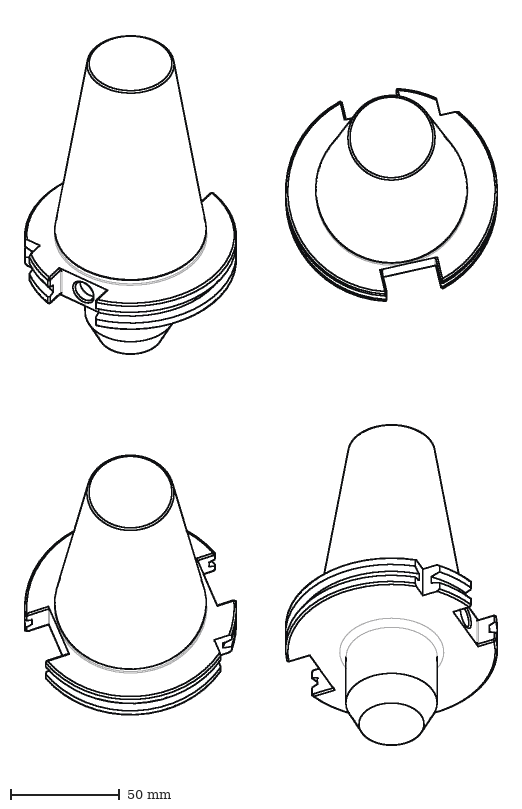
import cadquery as cq
import math

total_height = 164.8
nose_cone_height = 12.9
flange_bottom = 43.8
flange_thickness = 16.0
flange_top = flange_bottom + flange_thickness
flange_middle = flange_bottom + flange_thickness / 2
taper_bottom = 63.0

nose_end_radius = 15.0
nose_radius = 42.0 / 2
flange_radius = 48.8
taper_large_radius = 35.0
taper_slope = 7 / 48
taper_small_radius = taper_large_radius - taper_slope * (total_height - taper_bottom)

nose_fillet = 3.0
neck_step = 0.3
neck_edge_height = 0.7
neck_fillet = 0.5
taper_tip_chamfer = 1.0
taper_tip_chamfer_height = 0.7
rim_chamfer = 1.0

groove_floor_radius = 45.5
groove_floor_width = 3.8
groove_mouth_width = 6.6

cutter_clearance = 1.6
edge_margin = 0.2

slot_width = 25.5
slot_wall_chamfer = 0.8
slot_floor_fillet = 0.5
slot_floor_front = 37.7
slot_floor_back = 35.3

notch_inner_corner = 30.0

hole_radius = 5.1
hole_mouth_radius = 6.0
hole_depth = 4.6


def make_body():
    """Nose, neck and taper turned around the Z axis."""
    neck_radius = taper_large_radius - neck_step
    bend = 1 - math.sqrt(0.5)
    profile = (
        cq.Workplane("XZ")
        .moveTo(0, 0)
        .lineTo(nose_end_radius, 0)
        .lineTo(nose_radius, nose_cone_height)
        .lineTo(nose_radius, flange_bottom - nose_fillet)
        .threePointArc(
            (nose_radius + bend * nose_fillet, flange_bottom - bend * nose_fillet),
            (nose_radius + nose_fillet, flange_bottom),
        )
        .lineTo(nose_radius + nose_fillet, flange_top)
        .lineTo(neck_radius + neck_fillet, flange_top)
        .threePointArc(
            (neck_radius + bend * neck_fillet, flange_top + bend * neck_fillet),
            (neck_radius, flange_top + neck_fillet),
        )
        .lineTo(neck_radius, taper_bottom - neck_edge_height)
        .lineTo(taper_large_radius, taper_bottom)
        .lineTo(taper_small_radius, total_height - taper_tip_chamfer_height)
        .lineTo(taper_small_radius - taper_tip_chamfer, total_height)
        .lineTo(0, total_height)
        .close()
    )
    return profile.revolve(360, (0, 0), (0, 1))


def make_slot_cutter(floor, side):
    """Block that cuts one drive slot; side is -1 for -Y and +1 for +Y."""
    return (
        cq.Workplane("XY", origin=(0, side * (floor + flange_radius / 2), flange_middle))
        .box(slot_width, flange_radius, 2 * flange_thickness)
    )


def make_groove_cutter():
    """Ring with the trapezoidal section of the V-groove."""
    flank_rise = (groove_mouth_width - groove_floor_width) / 2
    flank_slope = flank_rise / (flange_radius - groove_floor_radius)
    outer_radius = flange_radius + cutter_clearance
    outer_half_width = groove_floor_width / 2 + flank_slope * (outer_radius - groove_floor_radius)
    return (
        cq.Workplane("XZ")
        .moveTo(groove_floor_radius, flange_middle - groove_floor_width / 2)
        .lineTo(outer_radius, flange_middle - outer_half_width)
        .lineTo(outer_radius, flange_middle + outer_half_width)
        .lineTo(groove_floor_radius, flange_middle + groove_floor_width / 2)
        .close()
        .revolve(360, (0, 0), (0, 1))
    )


def make_notch_cutter():
    """Block that removes the flange corner toward -X and -Y."""
    corner = -notch_inner_corner - flange_radius / 2
    return (
        cq.Workplane("XY", origin=(corner, corner, flange_middle))
        .box(flange_radius, flange_radius, 2 * flange_thickness)
    )


def make_hole_cutter():
    """Blind hole with a 45-degree countersunk mouth."""
    countersink = hole_mouth_radius - hole_radius
    return (
        cq.Workplane("XY")
        .lineTo(hole_mouth_radius, 0)
        .lineTo(hole_radius, countersink)
        .lineTo(hole_radius, hole_depth)
        .lineTo(0, hole_depth)
        .close()
        .revolve(360, (0, 0), (0, 1))
        .translate((0, -slot_floor_front, flange_middle))
    )


def is_outer_wall_edge(edge):
    """True for a slot wall edge that lies beyond the corner at the slot floor."""
    return abs(edge.Center().y) > slot_floor_front + edge_margin


def make_flange():
    """Flange disc with chamfered edges, drive slots, V-groove and corner notch."""
    disc = (
        cq.Workplane("XY", origin=(0, 0, flange_bottom))
        .circle(flange_radius)
        .extrude(flange_thickness)
        .edges("%CIRCLE")
        .chamfer(rim_chamfer)
        .cut(make_slot_cutter(slot_floor_front, -1))
        .cut(make_slot_cutter(slot_floor_back, 1))
    )

    disc = disc.faces("|X").edges().filter(is_outer_wall_edge).chamfer(slot_wall_chamfer)
    disc = disc.faces("|Y").edges("|Z").fillet(slot_floor_fillet)

    disc = disc.cut(make_groove_cutter())
    return disc.cut(make_notch_cutter())


result = make_body().union(make_flange()).cut(make_hole_cutter())